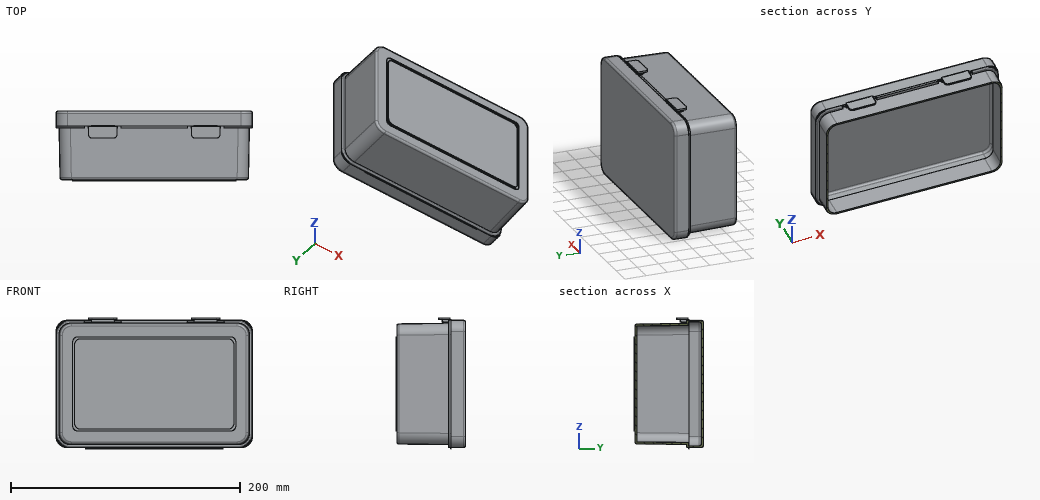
import cadquery as cq
import math


length = 171.0
lid_height = 111.0
lid_depth = 13.0
corner_radius = 10.0
edge_fillet = 2.0

lid_wall = 1.5
lid_floor = 2.0
lid_inner_fillet = 2.0

base_depth = 47.0
base_inset = 2.5
side_draft_angle = 1.1
top_draft_angle = 0.7
base_wall = 2.0

flange_depth = 2.0
flange_fillet = 1.0

rim_inset = 14.5
rim_width = 1.62
rim_height = 0.9
rim_outer_radius = 4.5
rim_inner_radius = 5.1

latch_offset = 44.8
latch_gap_width = 32.0

plate_width = 25.0
plate_back = 0.5
plate_length = 10.1
plate_rise = 2.0
plate_thickness = 1.5
plate_corner_radius = 3.0
neck_width = 20.0
neck_front = 7.5
neck_drop = 1.5
strap_overlap = 0.3
foot_back = 2.0
foot_width = 15.4

rib_width = 17.5
rib_back = 4.8
rib_depth = 1.7
pad_width = 25.5
pad_height = 0.2

hinge_length = 119.7
hinge_drop = 1.0
hinge_thickness = 1.0

lid_top = lid_height / 2
base_top = lid_top - base_inset
wall_middle = base_top - base_wall / 2
base_side_shift = base_depth * math.tan(math.radians(side_draft_angle))
base_top_shift = base_depth * math.tan(math.radians(top_draft_angle))
latch_stations = (-latch_offset, latch_offset)


def rounded_outline(side_inset, top_inset, radius):
    """Rounded rectangle set in from the outer edge of the lid."""
    width = length - 2 * side_inset
    height = lid_height - 2 * top_inset
    return cq.Sketch().rect(width, height).vertices().fillet(radius)


def front_plane(y):
    """XZ plane at y whose normal points towards -Y."""
    return cq.Workplane("XZ", origin=(0, y, 0))


def prism(inset, radius, y, depth):
    """Rounded block from y towards -Y."""
    return front_plane(y).placeSketch(rounded_outline(inset, inset, radius)).extrude(depth)


def tapered_block(back_inset, radius, depth):
    """Rounded block from the parting plane towards -Y, narrowing at a constant corner radius."""
    back = rounded_outline(back_inset, back_inset, radius)
    front = rounded_outline(back_inset + base_side_shift, back_inset + base_top_shift, radius)
    front_place = cq.Location(cq.Vector(0, 0, depth))
    return front_plane(0).placeSketch(back, front.moved(front_place)).loft(ruled=True)


def block(x_centre, width, y_back, depth, z_low, z_high):
    """Plain box running from y_back towards -Y."""
    return (
        cq.Workplane("XY")
        .box(width, depth, z_high - z_low, centered=(True, False, False))
        .translate((x_centre, y_back - depth, z_low))
    )


def make_lid():
    shell = prism(0, corner_radius, lid_depth, lid_depth).faces(">Y").edges().fillet(edge_fillet)
    cavity = prism(lid_wall, corner_radius - lid_wall, lid_depth - lid_floor, lid_depth - lid_floor)
    cavity = cavity.faces(">Y").edges().fillet(lid_inner_fillet)
    return shell.cut(cavity)


def make_flange():
    """Flange with a rounded front edge, open at the latches and square-edged between them."""
    flange = prism(0, corner_radius + base_inset, 0, flange_depth).faces("<Y").edges().fillet(flange_fillet)
    latch_span = 2 * latch_offset + latch_gap_width
    middle_span = 2 * latch_offset - latch_gap_width
    flange = flange.cut(block(0, latch_span, 0, flange_depth, wall_middle, lid_top))
    return flange.union(block(0, middle_span, 0, flange_depth, wall_middle, lid_top))


def make_rim():
    base_front = -base_depth
    outer = prism(rim_inset, rim_outer_radius, base_front, rim_height)
    return outer.cut(prism(rim_inset + rim_width, rim_inner_radius, base_front, rim_height))


def make_base():
    body = tapered_block(base_inset, corner_radius, base_depth)
    body = body.faces("<Y").edges().fillet(edge_fillet)
    body = body.union(make_flange()).union(make_rim())
    for x in latch_stations:
        body = body.union(block(x, rib_width, -rib_back, rib_depth, wall_middle, lid_top - neck_drop))
        body = body.union(block(x, pad_width, 0, flange_depth, wall_middle, base_top + pad_height))
    cavity = tapered_block(base_inset + base_wall, corner_radius - base_wall, base_depth - base_wall)
    return body.cut(cavity)


def make_latch(x):
    plate_bottom = lid_top + plate_rise - plate_thickness
    plate = block(x, plate_width, -plate_back, plate_length, plate_bottom, lid_top + plate_rise)
    plate = plate.faces("<Y").edges("|Z").fillet(plate_corner_radius)
    neck = block(x, neck_width, 0, neck_front, lid_top - neck_drop, plate_bottom)
    strap = block(x, neck_width, strap_overlap, strap_overlap + plate_back, lid_top, plate_bottom)
    foot = block(x, foot_width, -foot_back, rib_back - foot_back, base_top, lid_top - neck_drop)
    return plate.union(neck).union(strap).union(foot)


def make_hinge():
    """Ridge of triangular section across the joint between lid and base."""
    return (
        cq.Workplane("YZ", origin=(-hinge_length / 2, 0, 0))
        .moveTo(hinge_thickness / 2, -lid_top)
        .lineTo(0, -lid_top - hinge_drop)
        .lineTo(-hinge_thickness / 2, -lid_top)
        .close()
        .extrude(hinge_length)
    )


lid = make_lid()
base = make_base()
latches = [make_latch(x) for x in latch_stations]
hinge = make_hinge()

result = cq.Compound.makeCompound([lid.val(), base.val(), *[latch.val() for latch in latches], hinge.val()])